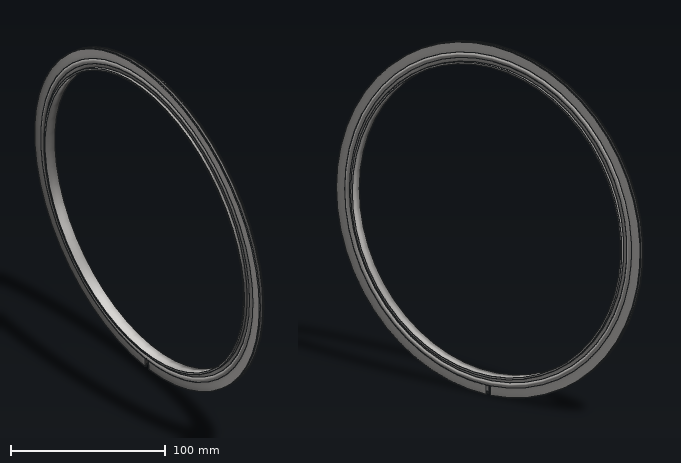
import cadquery as cq

outer_diameter = 238.0
bore_diameter = 210.0
lip_diameter = 212.5
lip_width = 8.0
body_width = 3.8

seal_section_diameter = 5.2
seal_centre_diameter = 221.0

rim_groove_width = 2.0
rim_groove_depth = 1.7
split_width = 3.5

outer_radius = outer_diameter / 2
bore_radius = bore_diameter / 2
lip_radius = lip_diameter / 2
seal_centre_radius = seal_centre_diameter / 2
seal_section_radius = seal_section_diameter / 2
half_body = body_width / 2

seal_half_chord = (seal_section_radius**2 - half_body**2) ** 0.5
seat_inner_radius = seal_centre_radius - seal_half_chord
seat_outer_radius = seal_centre_radius + seal_half_chord


def revolve_about_y(profile):
    """Turn a closed profile, drawn as (radius, y), fully around the Y axis."""
    return profile.revolve(360, (0, 0, 0), (0, 1, 0))


def make_inner_ring():
    """Centering ring: a wide thin lip and a narrower body with a concave seal seat."""
    half_lip = lip_width / 2
    seat_bottom_radius = seal_centre_radius - seal_section_radius
    profile = (
        cq.Workplane("XY")
        .moveTo(bore_radius, -half_lip)
        .lineTo(lip_radius, -half_lip)
        .lineTo(lip_radius, -half_body)
        .lineTo(seat_inner_radius, -half_body)
        .threePointArc((seat_bottom_radius, 0), (seat_inner_radius, half_body))
        .lineTo(lip_radius, half_body)
        .lineTo(lip_radius, half_lip)
        .lineTo(bore_radius, half_lip)
        .close()
    )
    return revolve_about_y(profile)


def make_seal_ring():
    """O-ring held between the inner and outer rings."""
    profile = cq.Workplane("XY").center(seal_centre_radius, 0).circle(seal_section_radius)
    return profile.revolve(360, (-seal_centre_radius, 0, 0), (-seal_centre_radius, 1, 0))


def make_outer_ring():
    """Retaining ring: concave seal seat inside, grooved rim outside, split at the bottom."""
    half_groove = rim_groove_width / 2
    groove_bottom_radius = outer_radius - rim_groove_depth
    groove_arc_radius = groove_bottom_radius + half_groove
    seat_bottom_radius = seal_centre_radius + seal_section_radius
    profile = (
        cq.Workplane("XY")
        .moveTo(seat_outer_radius, -half_body)
        .lineTo(outer_radius, -half_body)
        .lineTo(outer_radius, -half_groove)
        .lineTo(groove_arc_radius, -half_groove)
        .threePointArc((groove_bottom_radius, 0), (groove_arc_radius, half_groove))
        .lineTo(outer_radius, half_groove)
        .lineTo(outer_radius, half_body)
        .lineTo(seat_outer_radius, half_body)
        .threePointArc((seat_bottom_radius, 0), (seat_outer_radius, -half_body))
        .close()
    )
    split = cq.Workplane("XY").box(
        split_width, body_width, outer_radius, centered=(True, True, False)
    ).translate((0, 0, -outer_radius))
    return revolve_about_y(profile).cut(split)


inner_ring = make_inner_ring()
seal_ring = make_seal_ring()
outer_ring = make_outer_ring()

result = cq.Compound.makeCompound([inner_ring.val(), seal_ring.val(), outer_ring.val()])